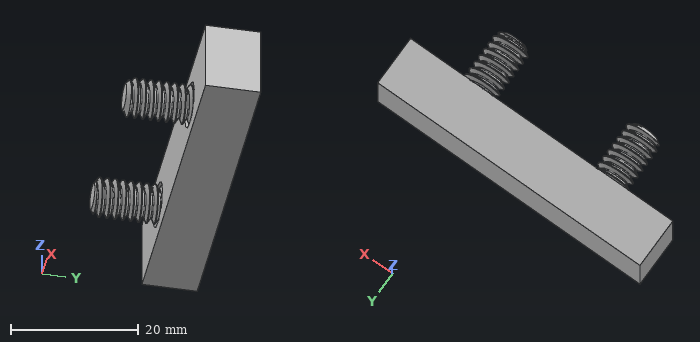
import cadquery as cq
import math

bar_length = 50.8
bar_height = 12.2
bar_depth = 8.9

screw_spacing = bar_length / 2
screw_projection = 10.5
major_diameter = 6.35
tip_diameter = 4.2
tip_taper_length = 0.75

pitch = 1.25
thread_depth = 0.75
crest_flat = pitch / 8
half_flank_angle = 30.0
flank_curve_steps = 4

hole_diameter = 7.2
hole_depth = 2 * pitch

major_radius = major_diameter / 2
root_radius = major_radius - thread_depth
screw_length = hole_depth + screw_projection


def make_bar():
    """Plain bar with its front face on Y = 0 and two blind holes in that face."""
    bar = cq.Workplane("XY").box(bar_length, bar_depth, bar_height).translate((0, bar_depth / 2, 0))
    holes = (
        cq.Workplane("XZ", origin=(0, hole_depth, 0))
        .rarray(screw_spacing, 0.5, 2, 1)
        .circle(hole_diameter / 2)
        .extrude(hole_depth)
    )
    return bar.cut(holes)


def polar_point(radius, angle):
    return (radius * math.cos(angle), radius * math.sin(angle))


def spiral(start_radius, end_radius, start_angle, end_angle):
    """Curve over t = 0..1 whose radius changes evenly with its angle."""
    return lambda t: polar_point(
        start_radius + t * (end_radius - start_radius),
        start_angle + t * (end_angle - start_angle),
    )


def make_thread():
    """Threaded rod along +Z: the cross-section of the thread, twisted one turn per pitch."""
    flank_width = thread_depth * math.tan(math.radians(half_flank_angle))
    flank_sweep = math.tau * flank_width / pitch
    crest_sweep = math.tau * crest_flat / pitch

    crest_start = math.pi - crest_sweep / 2
    crest_end = math.pi + crest_sweep / 2
    root_end = crest_start - flank_sweep
    root_start = crest_end + flank_sweep

    section = (
        cq.Workplane("XY")
        .moveTo(*polar_point(root_radius, root_start))
        .threePointArc((root_radius, 0), polar_point(root_radius, root_end))
        .parametricCurve(
            spiral(root_radius, major_radius, root_end, crest_start), N=flank_curve_steps, makeWire=False
        )
        .moveTo(*polar_point(major_radius, crest_start))
        .threePointArc((-major_radius, 0), polar_point(major_radius, crest_end))
        .parametricCurve(
            spiral(major_radius, root_radius, crest_end, root_start), N=flank_curve_steps, makeWire=False
        )
        .wire()
    )
    return section.twistExtrude(screw_length, 360 * screw_length / pitch)


def make_tip_envelope():
    """Cone that tapers the tip, on a cylinder that clears the thread and the foot."""
    clearance = 0.5
    tip_radius = tip_diameter / 2
    taper_slope = tip_taper_length / (major_radius - tip_radius)
    envelope_radius = major_radius + clearance
    return (
        cq.Workplane("XZ")
        .polyline([
            (0, -clearance),
            (envelope_radius, -clearance),
            (envelope_radius, screw_length - (envelope_radius - tip_radius) * taper_slope),
            (tip_radius, screw_length),
            (0, screw_length),
        ])
        .close()
        .revolve(360, (0, 0, 0), (0, 1, 0))
    )


def make_screw():
    """Threaded stud along +Z, foot on Z = 0 and tapered at the tip."""
    return make_thread().intersect(make_tip_envelope())


def place_screw(screw, x, turn):
    """Turn a screw about its axis, point it along -Y and stand it on its hole floor."""
    turned = screw.rotate((0, 0, 0), (0, 0, 1), turn)
    pointed = turned.rotate((0, 0, 0), (1, 0, 0), 90)
    return pointed.translate((x, hole_depth, 0))


bar = make_bar()
screw = make_screw()

screws = []
for x, turn in [(-screw_spacing / 2, 0), (screw_spacing / 2, 180)]:
    screws.append(place_screw(screw, x, turn).val())

result = cq.Compound.makeCompound([bar.val(), *screws])